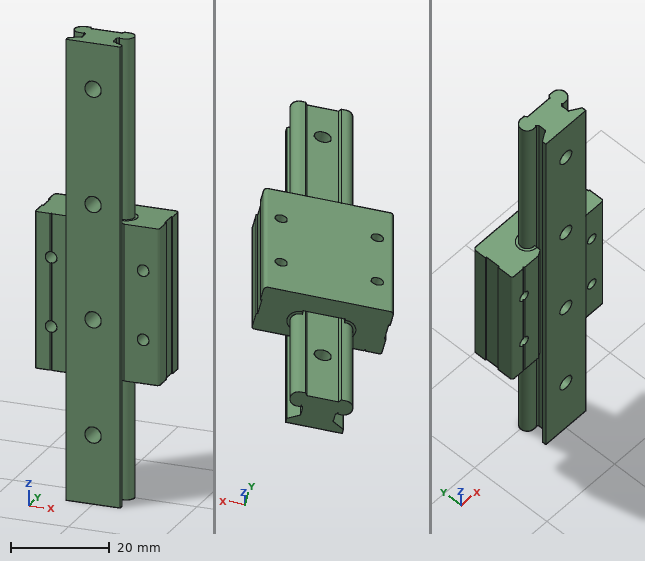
import cadquery as cq

rail_length = 100.0
base_half_width = 5.9
base_edge_height = 1.0
neck_half_width = 3.4
neck_start_y = 2.5
back_recess_y = 7.5
back_recess_half_width = 3.3
rail_hole_diameter = 3.5
rail_hole_pitch = 25.0
rail_hole_count = 4
first_rail_hole_z = 15.0

lobe_radius = 1.8
lobe_x = 4.7
lobe_y = 6.3
lobe_front_y = lobe_y - lobe_radius
lobe_back_y = lobe_y + lobe_radius
recess_edge_x = 3.7

neck_top_y = 4.3
relief_x = 3.8
relief_edge_x = 3.9
relief_depth = 0.3

liner_thickness = 0.6
liner_radius = lobe_radius + liner_thickness

carriage_length = 34.0
carriage_middle_z = 43.8
carriage_half_width = 13.5
carriage_front_y = 2.2
carriage_back_y = 13.0
front_edge_radius = 0.5
back_edge_radius = 0.8
side_groove_depth = 0.3
side_groove_front_y = 6.1
side_groove_back_y = 9.6
cavity_half_width = 4.4
cavity_back_y = 9.0
mouth_flare_y = 3.0
mouth_half_width = 5.8
mounting_hole_diameter = 2.5
mounting_hole_spacing_x = 20.0
mounting_hole_spacing_z = 15.0

mark_groove_width = 0.4
mark_groove_depth = 0.3

carriage_bottom_z = carriage_middle_z - carriage_length / 2


def mirrored_outline(right_half):
    """Closed polygon from the points of its +X half, listed from front to back."""
    left_half = [(-x, y) for x, y in reversed(right_half)]
    return cq.Workplane("XY").polyline(right_half + left_half).close()


def holes_along_y(diameter, places):
    """Cylinders along Y through the full depth at the given (x, z) places."""
    return (
        cq.Workplane("XZ")
        .pushPoints(places)
        .circle(diameter / 2)
        .extrude(-carriage_back_y)
    )


def make_rail():
    lobe_tip = (lobe_x + lobe_radius, lobe_y)
    right_half = (
        cq.Workplane("XY")
        .lineTo(base_half_width, 0)
        .lineTo(base_half_width, base_edge_height)
        .lineTo(neck_half_width, neck_start_y)
        .lineTo(neck_half_width, neck_top_y)
        .lineTo(relief_x, lobe_front_y + relief_depth)
        .lineTo(relief_edge_x, lobe_front_y)
        .lineTo(lobe_x, lobe_front_y)
        .threePointArc(lobe_tip, (lobe_x, lobe_back_y))
        .lineTo(recess_edge_x, lobe_back_y)
        .lineTo(back_recess_half_width, back_recess_y)
        .lineTo(0, back_recess_y)
        .close()
        .extrude(rail_length)
    )
    rail = right_half.union(right_half.mirror("YZ"))
    hole_places = [(0, first_rail_hole_z + i * rail_hole_pitch) for i in range(rail_hole_count)]
    return rail.cut(holes_along_y(rail_hole_diameter, hole_places))


def make_liner(side, rail):
    """C-shaped strip fitted to one lobe of the rail; side is +1 for +X and -1 for -X."""
    strip = (
        cq.Workplane("XY", origin=(side * lobe_x, lobe_y, carriage_bottom_z))
        .circle(liner_radius)
        .extrude(carriage_length)
    )
    opening = (
        cq.Workplane("XY", origin=(0, 0, carriage_bottom_z))
        .rect(2 * cavity_half_width, 2 * carriage_back_y)
        .extrude(carriage_length)
    )
    return strip.cut(opening).cut(rail)


def make_carriage():
    groove_x = carriage_half_width - side_groove_depth
    block = mirrored_outline(
        [
            (carriage_half_width, carriage_front_y),
            (carriage_half_width, side_groove_front_y),
            (groove_x, side_groove_front_y),
            (groove_x, side_groove_back_y),
            (carriage_half_width, side_groove_back_y),
            (carriage_half_width, carriage_back_y),
        ]
    ).extrude(carriage_length)
    block = block.faces("<Y").edges("|Z").fillet(front_edge_radius)
    block = block.faces(">Y").edges("|Z").fillet(back_edge_radius)
    cavity = mirrored_outline(
        [
            (mouth_half_width, carriage_front_y),
            (cavity_half_width, mouth_flare_y),
            (cavity_half_width, cavity_back_y),
        ]
    ).extrude(carriage_length)
    liner_seats = (
        cq.Workplane("XY")
        .pushPoints([(-lobe_x, lobe_y), (lobe_x, lobe_y)])
        .circle(liner_radius)
        .extrude(carriage_length)
    )
    mark_x = -mounting_hole_spacing_x / 2
    mark_groove = (
        cq.Workplane("XY")
        .moveTo(mark_x - mark_groove_width / 2, carriage_front_y)
        .lineTo(mark_x, carriage_front_y + mark_groove_depth)
        .lineTo(mark_x + mark_groove_width / 2, carriage_front_y)
        .close()
        .extrude(carriage_length)
    )
    carriage = block.cut(cavity).cut(liner_seats).cut(mark_groove)
    hole_places = [
        (x_side * mounting_hole_spacing_x / 2, carriage_length / 2 + z_side * mounting_hole_spacing_z / 2)
        for x_side in (-1, 1)
        for z_side in (-1, 1)
    ]
    carriage = carriage.cut(holes_along_y(mounting_hole_diameter, hole_places))
    return carriage.translate((0, 0, carriage_bottom_z))


rail = make_rail()
carriage = make_carriage()
liners = [make_liner(side, rail) for side in (-1, 1)]

result = cq.Compound.makeCompound([rail.val(), carriage.val(), *[liner.val() for liner in liners]])